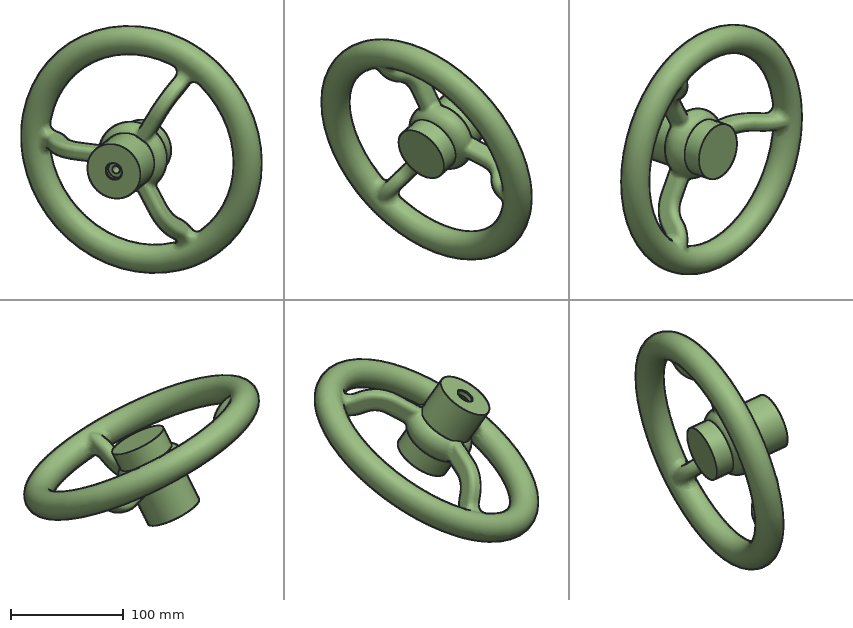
import cadquery as cq
import math


outer_diameter = 228.5
rim_tube_diameter = 25.4
rim_tube_radius = rim_tube_diameter / 2
rim_circle_radius = outer_diameter / 2 - rim_tube_radius

total_width = 78.6
hub_radius = 25.4
hub_front_y = rim_tube_radius - total_width
hub_back_y = 7.8
collar_radius = 31.8
collar_front_y = -32.7
collar_middle_y = -21.0
collar_back_y = 2 * collar_middle_y - collar_front_y

counterbore_diameter = 14.5
counterbore_chamfer = 0.7
counterbore_depth = 5.0
pilot_diameter = 7.0
pilot_depth = 18.3
drill_tip_angle = math.radians(118)

spoke_count = 3
first_spoke_angle = 60.0
spoke_spacing = 360 / spoke_count
spoke_angles = [math.radians(first_spoke_angle + index * spoke_spacing) for index in range(spoke_count)]
spoke_width = 13.0
spoke_depth = 18.7
spoke_front_edge_radius = 4.5
spoke_back_edge_radius = 6.0
spoke_plane_y = -24.7
bend_start_radius = 50.7
bend_radius = 29.5
bend_angle = math.radians(57)

rim_blend_radius = 6.9
hub_blend_radius = 4.5


def make_rim():
    """Round ring about the Y axis."""
    tube = cq.Workplane("XY").center(rim_circle_radius, 0).circle(rim_tube_radius)
    return tube.revolve(360, (-rim_circle_radius, 0), (-rim_circle_radius, 1))


def make_hub():
    """Plain cylinder with a bulging collar where the spokes meet it."""
    return (
        cq.Workplane("XY")
        .moveTo(0, hub_front_y)
        .lineTo(hub_radius, hub_front_y)
        .lineTo(hub_radius, collar_front_y)
        .threePointArc((collar_radius, collar_middle_y), (hub_radius, collar_back_y))
        .lineTo(hub_radius, hub_back_y)
        .lineTo(0, hub_back_y)
        .close()
        .revolve(360, (0, 0), (0, 1))
    )


def make_spoke():
    """Spoke along +X: straight from the hub, then an S-bend that enters the rim radially at Y = 0."""
    return_radius = -spoke_plane_y / (1 - math.cos(bend_angle)) - bend_radius
    bend_end_x = bend_start_radius + bend_radius * math.sin(bend_angle)
    bend_end_y = spoke_plane_y + bend_radius * (1 - math.cos(bend_angle))
    path_end_x = bend_end_x + return_radius * math.sin(bend_angle)
    half_angle = bend_angle / 2
    path = (
        cq.Workplane("XY")
        .moveTo(0, spoke_plane_y)
        .lineTo(bend_start_radius, spoke_plane_y)
        .threePointArc(
            (
                bend_start_radius + bend_radius * math.sin(half_angle),
                spoke_plane_y + bend_radius * (1 - math.cos(half_angle)),
            ),
            (bend_end_x, bend_end_y),
        )
        .threePointArc(
            (
                path_end_x - return_radius * math.sin(half_angle),
                -return_radius * (1 - math.cos(half_angle)),
            ),
            (path_end_x, 0),
        )
    )
    section = (
        cq.Sketch()
        .rect(spoke_depth, spoke_width)
        .vertices("<X")
        .fillet(spoke_front_edge_radius)
        .reset()
        .vertices(">X")
        .fillet(spoke_back_edge_radius)
    )
    return (
        cq.Workplane(cq.Plane((0, spoke_plane_y, 0), xDir=(0, 1, 0), normal=(1, 0, 0)))
        .placeSketch(section)
        .sweep(path)
    )


def blend_spokes(body, radius, inner_radius, outer_radius, front_y):
    """Fillets the edges around the spokes that lie in a radial band and behind front_y."""
    joint_edges = []
    for edge in body.edges().vals():
        center = edge.Center()
        for angle in spoke_angles:
            along = center.x * math.cos(angle) + center.z * math.sin(angle)
            across = center.z * math.cos(angle) - center.x * math.sin(angle)
            in_band = inner_radius < along < outer_radius
            if in_band and abs(across) < spoke_width and center.y > front_y:
                joint_edges.append(edge)
    return body.newObject(joint_edges).fillet(radius)


def make_wheel():
    """Hub, spokes and rim with blended joints."""
    hub = make_hub()
    spoke = make_spoke()
    for angle in spoke_angles:
        hub = hub.union(spoke.rotate((0, 0, 0), (0, -1, 0), math.degrees(angle)))
    hub = blend_spokes(hub, hub_blend_radius, hub_radius, collar_radius, collar_front_y)
    rim_inner_radius = rim_circle_radius - rim_tube_radius
    wheel = hub.union(make_rim())
    return blend_spokes(wheel, rim_blend_radius, rim_inner_radius, rim_circle_radius, -rim_tube_radius)


def make_hole():
    """Chamfered, counterbored blind hole on the wheel axis, with a drill-point bottom."""
    counterbore_radius = counterbore_diameter / 2
    pilot_radius = pilot_diameter / 2
    tip_length = pilot_radius / math.tan(drill_tip_angle / 2)
    counterbore_y = hub_front_y + counterbore_depth
    pilot_y = hub_front_y + pilot_depth
    return (
        cq.Workplane("XY")
        .moveTo(0, hub_front_y)
        .lineTo(counterbore_radius + counterbore_chamfer, hub_front_y)
        .lineTo(counterbore_radius, hub_front_y + counterbore_chamfer)
        .lineTo(counterbore_radius, counterbore_y)
        .lineTo(pilot_radius, counterbore_y)
        .lineTo(pilot_radius, pilot_y)
        .lineTo(0, pilot_y + tip_length)
        .close()
        .revolve(360, (0, 0), (0, 1))
    )


result = make_wheel().cut(make_hole())